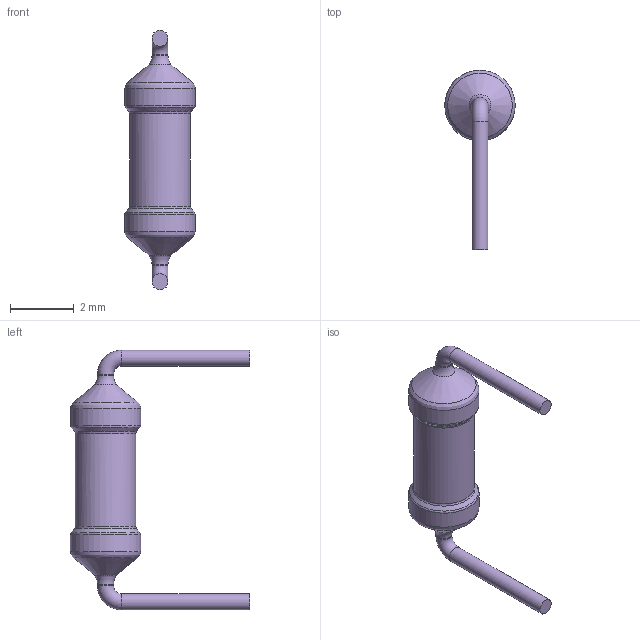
import cadquery as cq
import math


lead_diameter = 0.5
lead_spacing = 7.62
lead_reach = 4.5
bend_radius = 0.5

barrel_diameter = 1.9
cap_diameter = 2.2
shoulder_inner_height = 1.49
shoulder_outer_height = 1.665
cone_base_height = 2.355
cone_tip_height = 2.98
flare_top_height = 3.27
flare_radius = 0.5
shoulder_fillet = 0.1
cap_fillet = 0.25

lead_radius = lead_diameter / 2
barrel_radius = barrel_diameter / 2
cap_radius = cap_diameter / 2
lead_height = lead_spacing / 2
bend_start_height = lead_height - bend_radius
flare_height = flare_top_height - cone_tip_height
cone_tip_radius = lead_radius + flare_radius - math.sqrt(flare_radius**2 - flare_height**2)


def circle_at(height):
    """Select the full circular edge lying at the given height."""
    tolerance = 0.001
    return cq.selectors.BoxSelector(
        (-cap_diameter, -cap_diameter, height - tolerance),
        (cap_diameter, cap_diameter, height + tolerance),
        boundingbox=True,
    )


def round_circle(solid, height, radius):
    return solid.edges(circle_at(height)).edges("%CIRCLE").fillet(radius)


def make_upper_body():
    """Revolve half of the body, up to the start of the lead bend."""
    body = (
        cq.Workplane("XZ")
        .polyline(
            [
                (0, 0),
                (barrel_radius, 0),
                (barrel_radius, shoulder_inner_height),
                (cap_radius, shoulder_outer_height),
                (cap_radius, cone_base_height),
                (cone_tip_radius, cone_tip_height),
            ]
        )
        .radiusArc((lead_radius, flare_top_height), flare_radius)
        .lineTo(lead_radius, bend_start_height)
        .lineTo(0, bend_start_height)
        .close()
        .revolve(360, (0, 0, 0), (0, 1, 0))
    )
    body = round_circle(body, shoulder_inner_height, shoulder_fillet)
    body = round_circle(body, shoulder_outer_height, shoulder_fillet)
    return round_circle(body, cone_base_height, cap_fillet)


def make_upper_lead():
    """Sweep the round lead through its bend and out to its tip."""
    path = (
        cq.Workplane("YZ")
        .moveTo(0, bend_start_height)
        .radiusArc((-bend_radius, lead_height), -bend_radius)
        .lineTo(-lead_reach, lead_height)
    )
    return (
        cq.Workplane("XY", origin=(0, 0, bend_start_height))
        .circle(lead_radius)
        .sweep(path)
    )


upper_half = make_upper_body().union(make_upper_lead())
lower_half = upper_half.rotate((0, 0, 0), (0, 1, 0), 180)
result = upper_half.union(lower_half).clean()